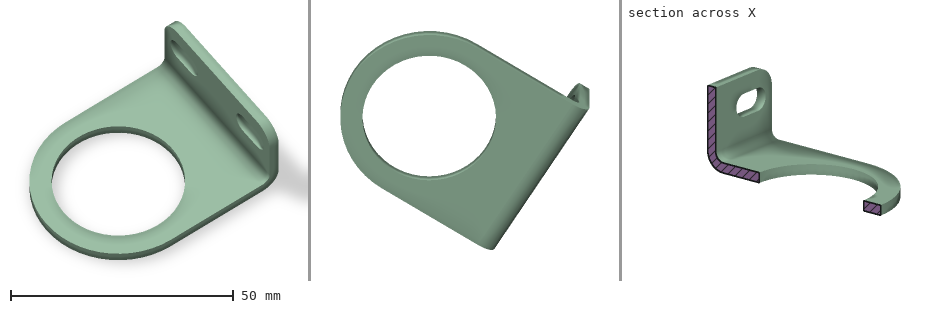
import cadquery as cq

width = 40.0
depth = 50.0
height = 20.0
thickness = 2.5

inner_bend_radius = 2.0
outer_bend_radius = inner_bend_radius + thickness

nose_radius = width / 2
hole_diameter = 30.0
back_y = depth - nose_radius

corner_radius = 5.0
slot_length = 10.5
slot_width = 5.5
slot_spacing = 25.0
slot_height = 13.0


def bent_sheet():
    """L-shaped side profile, swept across the width, with both bend radii."""
    front_y = -nose_radius
    flange_front_y = back_y - thickness
    return (
        cq.Workplane("YZ")
        .moveTo(front_y, 0)
        .lineTo(back_y - outer_bend_radius, 0)
        .radiusArc((back_y, outer_bend_radius), -outer_bend_radius)
        .lineTo(back_y, height)
        .lineTo(flange_front_y, height)
        .lineTo(flange_front_y, outer_bend_radius)
        .radiusArc((back_y - outer_bend_radius, thickness), inner_bend_radius)
        .lineTo(front_y, thickness)
        .close()
        .extrude(width / 2, both=True)
    )


def plan_outline():
    """Upright prism of the plan shape: straight sides and a half-round nose."""
    return (
        cq.Workplane("XY")
        .moveTo(-nose_radius, back_y)
        .lineTo(-nose_radius, 0)
        .threePointArc((0, -nose_radius), (nose_radius, 0))
        .lineTo(nose_radius, back_y)
        .close()
        .extrude(height)
    )


def mounting_hole():
    """Cylinder that clears the large hole through the base plate."""
    return cq.Workplane("XY").circle(hole_diameter / 2).extrude(thickness)


def flange_slots():
    """Two round-ended slots through the upright flange."""
    return (
        cq.Workplane("XZ", origin=(0, back_y, slot_height))
        .pushPoints([(-slot_spacing / 2, 0), (slot_spacing / 2, 0)])
        .slot2D(slot_length, slot_width)
        .extrude(thickness)
    )


bracket = bent_sheet().intersect(plan_outline())
bracket = bracket.faces(">Z").edges("|Y").fillet(corner_radius)
result = bracket.cut(mounting_hole()).cut(flange_slots())